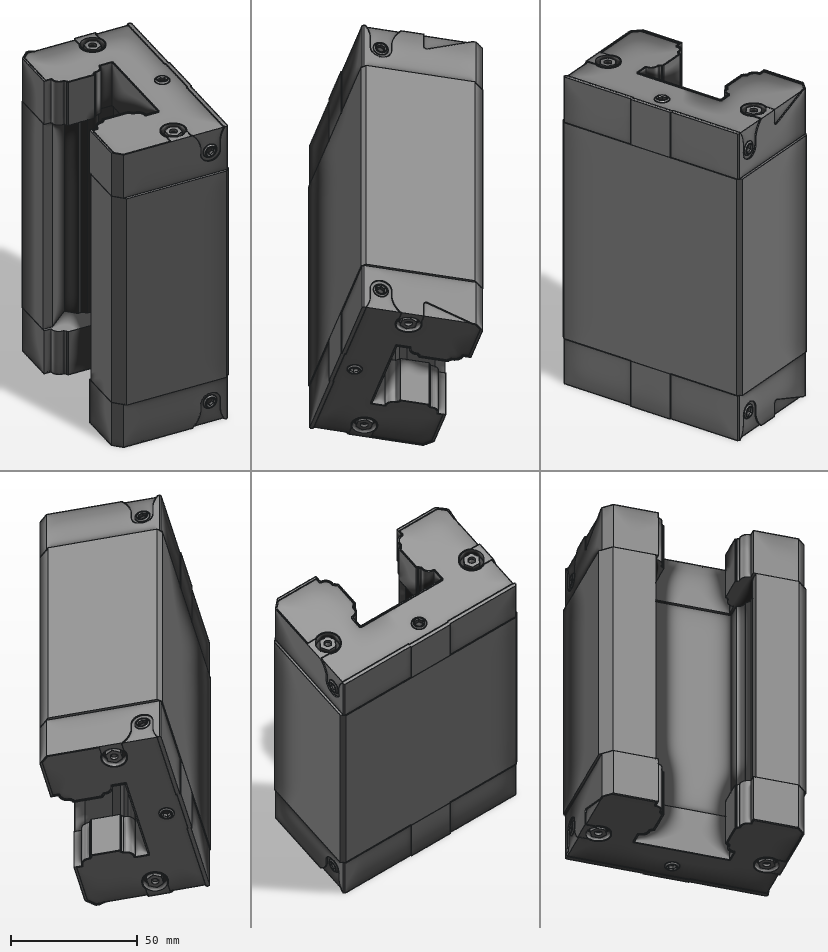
import cadquery as cq
import math

overall_length = 137.7
block_length = 96.9
block_width = 86.0
height = 50.3
front_y = -height / 2
back_y = height / 2

block_back_chamfer = 1.7
block_front_chamfer = 4.4
block_channel_half = 20.8
block_channel_y = 6.2

cap_width = 84.0
cap_back_y = back_y - 0.4
cap_back_chamfer = 0.5
cap_front_chamfer = 3.6
cap_channel_half = 19.7
cap_channel_y = 5.0
lip_half = 14.7
lobe_half = 16.2
lip_center_y = -11.2
lip_half_height = 6.2
lip_chamfer = 0.4
lip_root_radius = 0.7
lobe_radius = cap_channel_half - lobe_half
lobe_center_offset = 7.5
back_pad_width = 19.0

panel_depth = 0.4
rim_width = 0.5
front_rim = 1.0
back_rim = 1.7

boss_x = 35.0
boss_y = 4.1
boss_across_flats = 6.0
boss_pad_width = 9.1
boss_collar_diameter = 10.6
boss_bore_diameter = 9.8
boss_bore_depth = 3.0
drill_diameter = 3.0
drill_depth = 1.4
drill_tip_angle = 118.0

port_y = 17.1
plug_diameter = 6.2
plug_length = 4.1
plug_chamfer = 0.7
plug_socket_across_flats = 3.0
plug_socket_depth = 2.0
plug_socket_mouth = 4.1
plug_end_proud = 0.1
side_plug_z = 58.9

mark_depth = rim_width
funnel_radius = 4.4
funnel_flare_back = 1.9
funnel_flare_front = 3.7
arrow_back_y = -0.3
arrow_tip_y = -20.1
arrow_depth_z = 7.5
arrow_fillet = 1.1

block_end_z = block_length / 2
rim_z = overall_length / 2 - plug_end_proud
panel_z = rim_z - panel_depth
cap_length = rim_z - block_end_z


def mirrored_half(half):
    """Join a half section, drawn on the +X side, to its mirror image."""
    return half.union(half.mirror("YZ"))


def slab(x_low, x_high, y_low, y_high, z_low, z_high):
    """Box between the given coordinates."""
    size = (x_high - x_low, y_high - y_low, z_high - z_low)
    return cq.Workplane("XY").box(*size, centered=False).translate((x_low, y_low, z_low))


def both_ends(body):
    """The body at the +Z end and its mirror image at the -Z end."""
    return [body, body.mirror("XY")]


def make_block():
    half_width = block_width / 2
    half = (
        cq.Workplane("XY", origin=(0, 0, -block_end_z))
        .moveTo(0, back_y)
        .lineTo(half_width - block_back_chamfer, back_y)
        .lineTo(half_width, back_y - block_back_chamfer)
        .lineTo(half_width, front_y + block_front_chamfer)
        .lineTo(half_width - block_front_chamfer, front_y)
        .lineTo(block_channel_half, front_y)
        .lineTo(block_channel_half, -20.9)
        .lineTo(28.8, -11.5)
        .lineTo(24.6, -7.5)
        .lineTo(25.0, -6.0)
        .lineTo(23.4, -4.1)
        .threePointArc((22.7, -1.8), (block_channel_half, -0.5))
        .lineTo(block_channel_half, block_channel_y)
        .lineTo(0, block_channel_y)
        .close()
        .extrude(block_length)
    )
    return mirrored_half(half)


def cap_section(length):
    half_width = cap_width / 2
    upper_lip = lip_center_y + lip_half_height
    lower_lip = lip_center_y - lip_half_height
    upper_lobe = lip_center_y + lobe_center_offset
    lower_lobe = lip_center_y - lobe_center_offset
    diagonal = lobe_radius * math.sqrt(0.5)
    half = (
        cq.Workplane("XY")
        .moveTo(0, back_y)
        .lineTo(back_pad_width / 2, back_y)
        .lineTo(back_pad_width / 2, cap_back_y)
        .lineTo(half_width - cap_back_chamfer, cap_back_y)
        .lineTo(half_width, cap_back_y - cap_back_chamfer)
        .lineTo(half_width, front_y + cap_front_chamfer)
        .lineTo(half_width - cap_front_chamfer, front_y)
        .lineTo(cap_channel_half, front_y)
        .lineTo(cap_channel_half, lower_lobe - lobe_radius)
        .threePointArc(
            (cap_channel_half - diagonal, lower_lobe - diagonal),
            (lobe_half, lower_lobe),
        )
        .lineTo(lobe_half, lower_lip - lip_root_radius)
        .radiusArc((lobe_half - lip_root_radius, lower_lip), lip_root_radius)
        .lineTo(lip_half + lip_chamfer, lower_lip)
        .lineTo(lip_half, lower_lip + lip_chamfer)
        .lineTo(lip_half, upper_lip - lip_chamfer)
        .lineTo(lip_half + lip_chamfer, upper_lip)
        .lineTo(lobe_half - lip_root_radius, upper_lip)
        .radiusArc((lobe_half, upper_lip + lip_root_radius), lip_root_radius)
        .lineTo(lobe_half, upper_lobe)
        .threePointArc(
            (cap_channel_half - diagonal, upper_lobe + diagonal),
            (cap_channel_half, upper_lobe + lobe_radius),
        )
        .lineTo(cap_channel_half, cap_channel_y)
        .lineTo(0, cap_channel_y)
        .close()
        .extrude(length)
    )
    return mirrored_half(half)


def panel_recess():
    """Volume sunk into the cap end: a rim stays round it, with a pad and collar at each boss."""
    panel = (
        cap_section(panel_depth)
        .faces(">Z")
        .wires()
        .toPending()
        .offset2D(-rim_width)
        .extrude(-panel_depth, combine=False)
    )
    front_edge = front_y + front_rim
    back_edge = cap_back_y - back_rim
    limits = slab(-cap_width / 2, cap_width / 2, front_edge, back_edge, 0, panel_depth)
    limits = limits.union(
        slab(-back_pad_width / 2, back_pad_width / 2, front_edge, back_y - back_rim, 0, panel_depth)
    )
    recess = panel.intersect(limits)
    for side in (-1, 1):
        pad_center_x = side * (boss_x + cap_width / 2) / 2
        pad = cq.Workplane("XY").center(pad_center_x, boss_y)
        pad = pad.rect(cap_width / 2 - boss_x, boss_pad_width).extrude(panel_depth)
        collar = cq.Workplane("XY").center(side * boss_x, boss_y)
        collar = collar.circle(boss_collar_diameter / 2).extrude(panel_depth)
        recess = recess.cut(pad).cut(collar)
    return recess.translate((0, 0, panel_z))


def funnel_mark():
    """Funnel-shaped recess round a side port, widening towards the end of the cap."""
    flare_radius_point = 0.3
    back_flare_z = side_plug_z + 4.8
    front_flare_z = side_plug_z + 3.3
    back_side = port_y + funnel_radius
    front_side = port_y - funnel_radius
    return (
        cq.Workplane("YZ", origin=(-cap_width / 2, 0, 0))
        .moveTo(back_side + funnel_flare_back, rim_z)
        .threePointArc(
            (back_side + flare_radius_point * funnel_flare_back, (back_flare_z + rim_z) / 2),
            (back_side, back_flare_z),
        )
        .lineTo(back_side, side_plug_z)
        .threePointArc((port_y, side_plug_z - funnel_radius), (front_side, side_plug_z))
        .lineTo(front_side, front_flare_z)
        .threePointArc(
            (front_side - flare_radius_point * funnel_flare_front, (front_flare_z + rim_z) / 2),
            (front_side - funnel_flare_front, rim_z),
        )
        .close()
        .extrude(mark_depth)
    )


def arrow_mark():
    """Shallow triangular recess at the end of the cap, on the -X side."""
    return (
        cq.Workplane("YZ", origin=(-cap_width / 2, 0, 0))
        .moveTo(arrow_back_y, rim_z)
        .lineTo(arrow_back_y, rim_z - arrow_depth_z)
        .lineTo(arrow_tip_y, rim_z)
        .close()
        .extrude(mark_depth)
        .edges("|X and <Z")
        .fillet(arrow_fillet)
    )


def boss_bore(side):
    """Ring-shaped recess that leaves a hex boss with a drilled centre standing in a round bore."""
    across_corners = boss_across_flats / math.cos(math.pi / 6)
    drill_radius = drill_diameter / 2
    tip_length = drill_radius / math.tan(math.radians(drill_tip_angle / 2))
    bore = cq.Workplane("XY").circle(boss_bore_diameter / 2).extrude(boss_bore_depth + panel_depth)
    boss = cq.Workplane("XY").polygon(6, across_corners).extrude(boss_bore_depth)
    drill = (
        cq.Workplane("XZ", origin=(0, 0, boss_bore_depth))
        .polyline([
            (0, 0),
            (drill_radius, 0),
            (drill_radius, -drill_depth),
            (0, -drill_depth - tip_length),
        ])
        .close()
        .revolve(360, (0, 0), (0, 1))
    )
    recess = bore.cut(boss).union(drill)
    return recess.translate((side * boss_x, boss_y, panel_z - boss_bore_depth))


def make_cap():
    """End cap at the +Z end of the block."""
    cap = cap_section(cap_length).translate((0, 0, block_end_z))
    cap = cap.cut(panel_recess())
    cap = cap.cut(arrow_mark())
    funnel = funnel_mark()
    cap = cap.cut(funnel).cut(funnel.mirror("YZ"))
    for side in (-1, 1):
        cap = cap.cut(boss_bore(side))
    for blank in placed_plugs(plug_blank()):
        cap = cap.cut(blank)
    return cap


def plug_blank():
    """Plug without its socket, outer face at the origin and facing +Z."""
    blank = cq.Workplane("XY", origin=(0, 0, -plug_length)).circle(plug_diameter / 2)
    return blank.extrude(plug_length).faces(">Z").chamfer(plug_chamfer)


def make_plug():
    """Plug with a countersunk hex socket."""
    across_corners = plug_socket_across_flats / math.cos(math.pi / 6)
    mouth_depth = (plug_socket_mouth - plug_socket_across_flats) / 2
    socket = cq.Workplane("XY").polygon(6, across_corners).extrude(-plug_socket_depth)
    mouth = cq.Workplane("XY").circle(plug_socket_mouth / 2).extrude(-mouth_depth, taper=45)
    return plug_blank().cut(socket).cut(mouth)


def placed_plugs(plug):
    """Copies of the plug in the three ports of the +Z cap: end, -X side and +X side."""
    end_plug = plug.translate((0, port_y, rim_z + plug_end_proud))
    side_plug = plug.rotate((0, 0, 0), (0, 1, 0), -90)
    side_plug = side_plug.translate((-cap_width / 2, port_y, side_plug_z))
    return [end_plug, side_plug, side_plug.mirror("YZ")]


block = make_block()
caps = both_ends(make_cap())
plugs = [copy for plug in placed_plugs(make_plug()) for copy in both_ends(plug)]
result = cq.Compound.makeCompound([body.val() for body in (block, *caps, *plugs)])